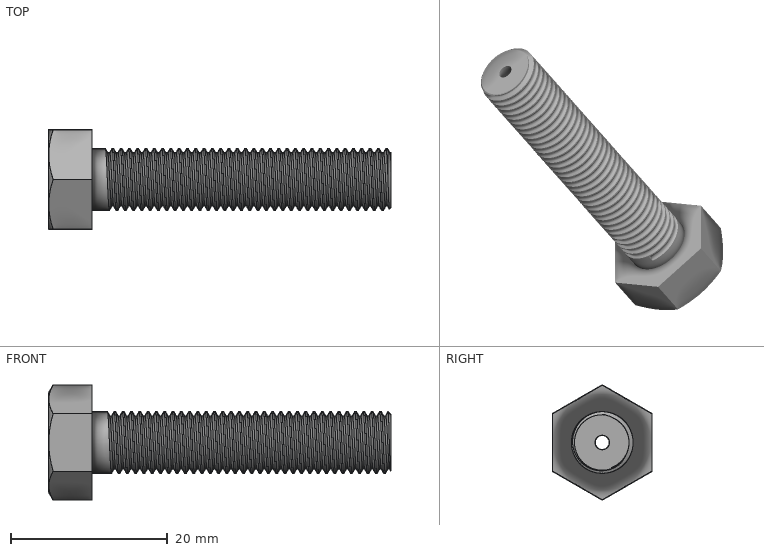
import cadquery as cq
import math

total_length = 43.7
head_height = 5.6
across_flats = 12.7
shaft_diameter = 7.85
bore_diameter = 1.8

face_circle_diameter = 12.55
head_chamfer_angle = 30.0

thread_depth = 0.52
thread_start = 7.43
thread_turns = 34.3
root_flat = 0.25
flank_angle = 30.0
tip_chamfer = 0.4
cut_overshoot = 0.1

across_corners = across_flats / math.cos(math.radians(30))
shaft_radius = shaft_diameter / 2
root_radius = shaft_radius - thread_depth
pitch = (total_length - thread_start) / thread_turns


def make_head():
    """Hexagonal prism with two corners on the Z axis, bevelled around its outer face."""
    prism = (
        cq.Workplane("YZ")
        .polygon(6, across_corners)
        .extrude(head_height)
        .rotate((0, 0, 0), (1, 0, 0), 90)
    )
    face_radius = face_circle_diameter / 2
    corner_radius = across_corners / 2
    bevel_depth = (corner_radius - face_radius) * math.tan(math.radians(head_chamfer_angle))
    envelope = (
        cq.Workplane("XY")
        .polyline([
            (0, 0),
            (0, face_radius),
            (bevel_depth, corner_radius),
            (head_height, corner_radius),
            (head_height, 0),
        ])
        .close()
        .revolve(360, (0, 0, 0), (1, 0, 0))
    )
    return prism.intersect(envelope)


def make_shaft():
    """Plain round shaft with a chamfered tip, revolved from a profile on the -Y side."""
    return (
        cq.Workplane("XY")
        .polyline([
            (head_height, 0),
            (head_height, -shaft_radius),
            (total_length - tip_chamfer, -shaft_radius),
            (total_length, tip_chamfer - shaft_radius),
            (total_length, 0),
        ])
        .close()
        .revolve(360, (0, 0, 0), (1, 0, 0))
    )


def make_thread_groove():
    """Helical groove cutter of trapezoidal section, starting below the axis and running off the tip."""
    half_root = root_flat / 2
    half_mouth = half_root + (thread_depth + cut_overshoot) * math.tan(math.radians(flank_angle))
    mouth_radius = shaft_radius + cut_overshoot
    section = [
        (root_radius, -half_root),
        (root_radius, half_root),
        (mouth_radius, half_mouth),
        (mouth_radius, -half_mouth),
    ]
    cutter_turns = math.ceil(thread_turns) + 1

    turn_helices = [
        cq.Wire.makeHelix(pitch, pitch, radius).translate(cq.Vector(0, 0, offset))
        for radius, offset in section
    ]
    faces = []
    for turn in range(cutter_turns):
        for helix, next_helix in zip(turn_helices, turn_helices[1:] + turn_helices[:1]):
            turn_face = cq.Face.makeRuledSurface(helix, next_helix)
            faces.append(turn_face.translate(cq.Vector(0, 0, turn * pitch)))
    for end in (0, cutter_turns * pitch):
        corners = [cq.Vector(radius, 0, offset + end) for radius, offset in section]
        faces.append(cq.Face.makeFromWires(cq.Wire.makePolygon(corners, close=True)))
    cutter = cq.Solid.makeSolid(cq.Shell.makeShell(faces))

    return (
        cq.Workplane(cutter)
        .rotate((0, 0, 0), (0, 1, 0), 90)
        .translate((thread_start, 0, 0))
    )


bore = cq.Workplane("YZ").circle(bore_diameter / 2).extrude(total_length)

result = make_head().union(make_shaft().cut(make_thread_groove())).cut(bore)